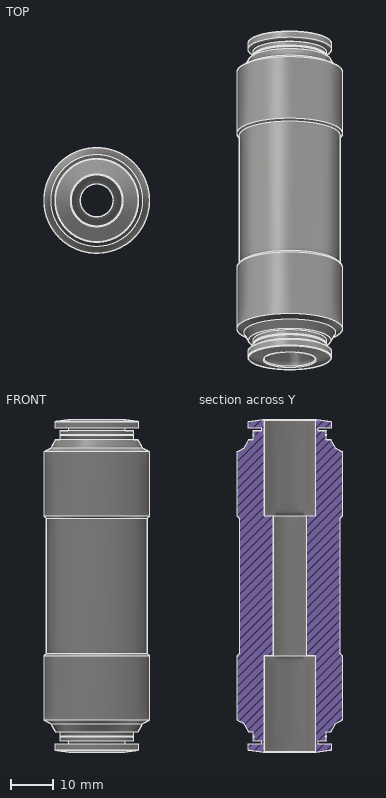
import cadquery as cq

length = 78.6
barrel_diameter = 23.9
sleeve_diameter = 25.0
sleeve_start = 7.6
sleeve_end = 22.8
sleeve_chamfer = (sleeve_diameter - barrel_diameter) / 2

nose_start = 4.8
nose_tip_diameter = 19.5
nose_break = 6.75
nose_break_diameter = 21.7

flange_diameter = 19.8
flange_rim_diameter = 19.5
flange_rim_start = 0.5
flange_rim_end = 0.6
flange_end = 2.05
neck_diameter = 13.4
collar_diameter = 17.4
collar_start = 2.7
groove_diameter = 17.0
groove_start = 3.6
groove_width = 0.2

passage_diameter = 7.7
socket_diameter = 12.0
socket_depth = sleeve_end
mouth_chamfer = 0.2
mouth_diameter = socket_diameter + 2 * mouth_chamfer


def end_profile():
    """Return the outline of one end as (diameter, distance from the end face), socket floor to barrel."""
    groove_end = groove_start + groove_width
    return [
        (passage_diameter, socket_depth),
        (socket_diameter, socket_depth),
        (socket_diameter, mouth_chamfer),
        (mouth_diameter, 0),
        (flange_rim_diameter, flange_rim_start),
        (flange_diameter, flange_rim_end),
        (flange_diameter, flange_end),
        (neck_diameter, flange_end),
        (neck_diameter, collar_start),
        (collar_diameter, collar_start),
        (collar_diameter, groove_start),
        (groove_diameter, groove_start),
        (groove_diameter, groove_end),
        (collar_diameter, groove_end),
        (collar_diameter, nose_start),
        (nose_tip_diameter, nose_start),
        (nose_break_diameter, nose_break),
        (sleeve_diameter, sleeve_start),
        (sleeve_diameter, sleeve_end),
        (barrel_diameter, sleeve_end + sleeve_chamfer),
    ]


lower_points = [(diameter / 2, distance) for diameter, distance in end_profile()]
upper_points = [(radius, length - z) for radius, z in reversed(lower_points)]
section = cq.Workplane("XZ").polyline(lower_points + upper_points).close()
result = section.revolve(360, (0, 0, 0), (0, 1, 0))